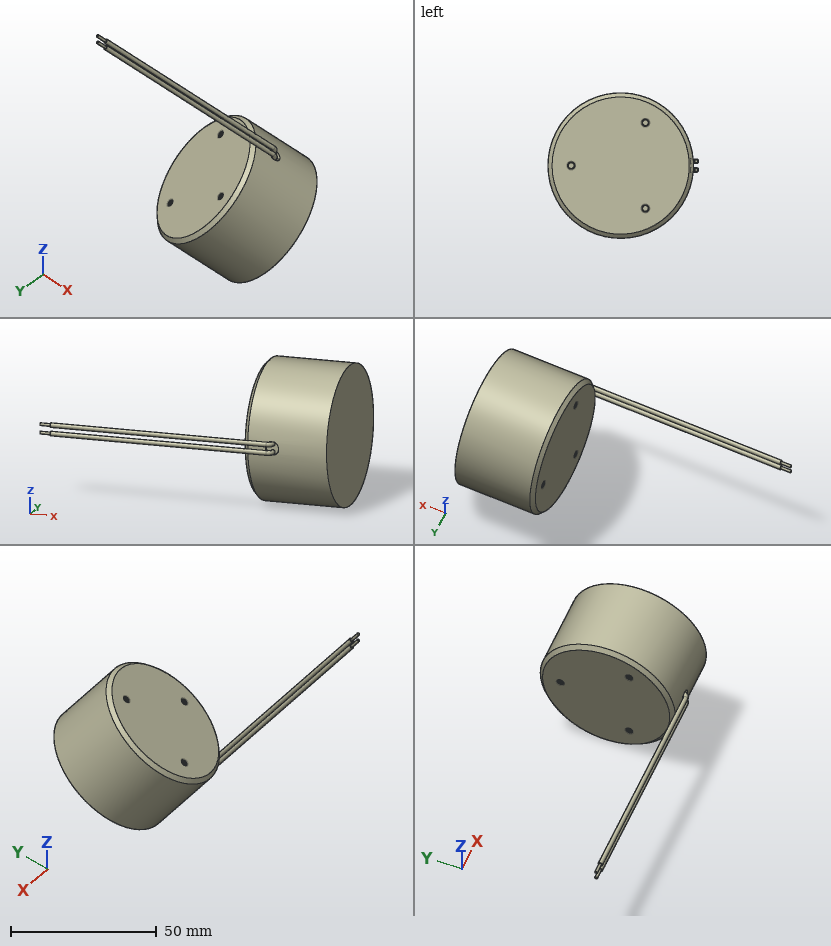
import cadquery as cq
import math

HOUSING_DIAMETER = 50.0
HOUSING_LENGTH = 30.0
FRONT_CHAMFER = 1.5

MOUNT_HOLE_COUNT = 3
MOUNT_CIRCLE_RADIUS = 17.0
MOUTH_DIAMETER = 3.0
MOUTH_DEPTH = 0.1
THREAD_ROOT_DIAMETER = 2.5
THREAD_CREST_DIAMETER = 2.0
THREAD_PITCH = 0.3
THREAD_COUNT = 12

OVERALL_LENGTH = 103.5
WIRE_DIAMETER = 1.7
CONDUCTOR_DIAMETER = 1.0
STRIPPED_LENGTH = 3.8
WIRE_PITCH = 3.0
WIRE_BEND_RADIUS = 1.6
WIRE_CLEARANCE = 0.1

ENTRY_X = 10.2
ENTRY_DIAMETER = 4.8
ENTRY_DEPTH = 1.0

HOUSING_RADIUS = HOUSING_DIAMETER / 2
WIRE_Y = -(HOUSING_RADIUS + WIRE_CLEARANCE + WIRE_DIAMETER / 2)
WIRE_TIP_X = HOUSING_LENGTH - OVERALL_LENGTH
INSULATION_START_X = WIRE_TIP_X + STRIPPED_LENGTH
BEND_START_X = ENTRY_X - WIRE_BEND_RADIUS
BEND_END_Y = WIRE_Y + WIRE_BEND_RADIUS
ENTRY_FLOOR_Y = -HOUSING_RADIUS + ENTRY_DEPTH


def make_threaded_hole():
    """Cutter for one mounting hole along +X from the origin, revolved from its half profile."""
    crest_radius = THREAD_CREST_DIAMETER / 2
    root_radius = THREAD_ROOT_DIAMETER / 2
    profile = (
        cq.Workplane("XY")
        .lineTo(0, MOUTH_DIAMETER / 2)
        .lineTo(MOUTH_DEPTH, crest_radius)
    )
    for turn in range(THREAD_COUNT):
        start = MOUTH_DEPTH + turn * THREAD_PITCH
        profile = profile.lineTo(start + THREAD_PITCH / 2, root_radius)
        profile = profile.lineTo(start + THREAD_PITCH, crest_radius)
    hole_end = MOUTH_DEPTH + THREAD_COUNT * THREAD_PITCH
    return profile.lineTo(hole_end, 0).close().revolve(360, (0, 0, 0), (1, 0, 0))


def make_wire_entry():
    """Cutter for the wire entry, from its flat floor out past the -Y side."""
    return (
        cq.Workplane("XZ", origin=(ENTRY_X, ENTRY_FLOOR_Y, 0))
        .circle(ENTRY_DIAMETER / 2)
        .extrude(2 * ENTRY_DEPTH)
    )


def make_housing():
    """Chamfered drum with the wire entry and a ring of mounting holes, the first one at +Y."""
    drum = cq.Workplane("YZ").circle(HOUSING_RADIUS).extrude(HOUSING_LENGTH)
    drum = drum.faces("<X").chamfer(FRONT_CHAMFER)
    drum = drum.cut(make_wire_entry())
    first_hole = make_threaded_hole().translate((0, MOUNT_CIRCLE_RADIUS, 0))
    for index in range(MOUNT_HOLE_COUNT):
        angle = index * 360 / MOUNT_HOLE_COUNT
        drum = drum.cut(first_hole.rotate((0, 0, 0), (1, 0, 0), angle))
    return drum


def make_wire(z):
    """Straight insulated wire with a bare tip, bent into the entry down to its floor."""
    bend_mid_x = BEND_START_X + WIRE_BEND_RADIUS * math.sin(math.radians(45))
    bend_mid_y = BEND_END_Y - WIRE_BEND_RADIUS * math.cos(math.radians(45))
    path = (
        cq.Workplane("XY", origin=(0, 0, z))
        .moveTo(INSULATION_START_X, WIRE_Y)
        .lineTo(BEND_START_X, WIRE_Y)
        .threePointArc((bend_mid_x, bend_mid_y), (ENTRY_X, BEND_END_Y))
        .lineTo(ENTRY_X, ENTRY_FLOOR_Y)
    )
    insulation = (
        cq.Workplane("YZ", origin=(INSULATION_START_X, WIRE_Y, z))
        .circle(WIRE_DIAMETER / 2)
        .sweep(path)
    )
    bare_tip = (
        cq.Workplane("YZ", origin=(WIRE_TIP_X, WIRE_Y, z))
        .circle(CONDUCTOR_DIAMETER / 2)
        .extrude(STRIPPED_LENGTH)
    )
    return insulation.union(bare_tip)


housing = make_housing()
wires = [make_wire(side * WIRE_PITCH / 2) for side in (-1, 1)]

result = cq.Compound.makeCompound([housing.solids().val(), *[wire.solids().val() for wire in wires]])